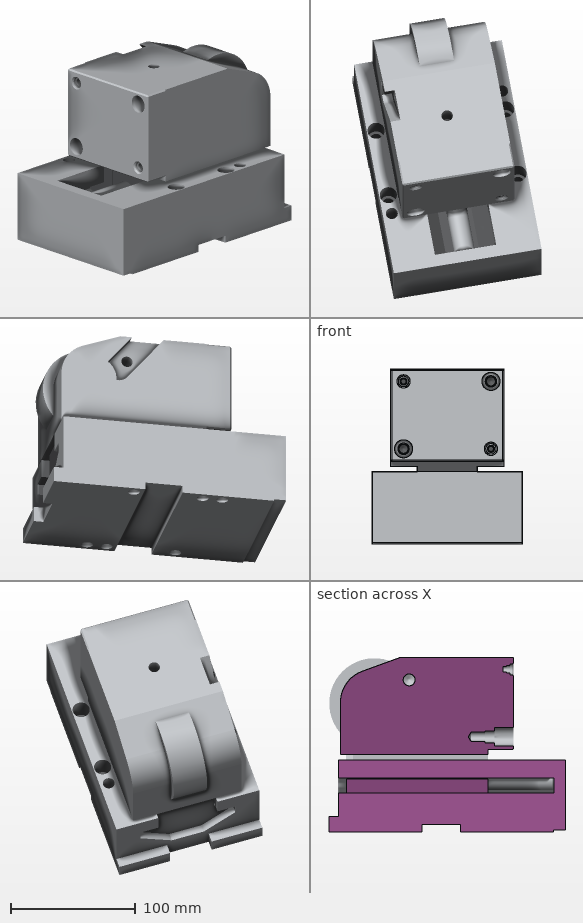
import cadquery as cq
import math


base_width = 120.0
base_length = 182.2
base_height = 58.0
total_length = 190.0
flange_height = 12.5
flange_notch_width = 35.0
keyway_width = 30.4
keyway_depth = 5.9
keyway_middle_y = 100.0
rear_relief_length = 9.9
rear_relief_height = 1.3

base_hole_x = 52.6
base_hole_radius = 4.8
screw_head_radius = 6.8
screw_head_depth = 19.0
screw_hole_ys = [66.9, 123.1]
dowel_y_offset = 16.0

slot_rear_y = 9.9
slot_width = 49.8
lip_thickness = 14.8
undercut_width = 79.8
slot_floor_z = 17.9
slot_floor_width = 27.0
slot_side_angle = 32.0
tongue_width = 48.3
tongue_clearance = 0.4
tongue_front_y = 176.0
tongue_bevel_length = 5.9
tongue_bevel_angle = 18.0

slide_width = 91.0
slide_bottom_z = 62.0
slide_top_z = 140.0
slide_front_y = 180.7
slide_rear_y = 41.6
rear_plate_front_y = 62.1
rear_plate_bottom_z = 66.0
rear_plate_chamfer = 1.1
nose_start_y = 132.2
nose_angle = 20.0
nose_radius = 27.0

roller_radius = 36.1
roller_width = 28.0
roller_y = 153.1
roller_z = 102.8

pocket_width = 20.0
pocket_depth = 8.0
pocket_angle = 50.0
pocket_end_y = 134.5
pocket_end_z = 111.0
pocket_hub_radius = 17.3
pocket_hole_distance = 14.0

tapped_radius = 4.5
tapped_depth = 19.0
drill_point_angle = 118.0
top_hole_y = 94.2

rear_hole_x = 35.0
rear_hole_low_z = 76.2
rear_hole_high_z = 130.2
bolt_steps = [(7.2, 15.2), (4.5, 22.8)]
bolt_tap_radius = 3.6
bolt_tap_depth = 34.2
plug_steps = [(4.2, 2.8), (2.8, 5.7), (2.0, 8.5)]
plug_rim_radius = 5.3

rod_radius = 8.4
rod_z = 41.6
rod_chamfer = 0.5
rod_front_y = 114.0
seat_size = 30.8
seat_depth = 1.0

slot_ceiling_z = base_height - lip_thickness
slot_side_rise = (undercut_width - slot_floor_width) / 2 * math.tan(math.radians(slot_side_angle))


def box(x_range, y_range, z_range):
    """Box given by its low and high limits on each axis."""
    sizes = [high - low for low, high in (x_range, y_range, z_range)]
    corner = (x_range[0], y_range[0], z_range[0])
    return cq.Workplane("XY").box(*sizes, centered=False).translate(corner)


def centered(width):
    """Limits of a width that is centred on the middle plane."""
    return (-width / 2, width / 2)


def cylinder(start, direction, radius, length):
    return cq.Workplane(cq.Solid.makeCylinder(radius, length, cq.Vector(*start), cq.Vector(*direction)))


def drilled_hole(start, direction, radius, depth):
    """Cutter for a blind hole that ends in a conical drill point."""
    point_length = radius / math.tan(math.radians(drill_point_angle / 2))
    tip = cq.Vector(*start) + cq.Vector(*direction) * depth
    point = cq.Solid.makeCone(radius, 0, point_length, tip, cq.Vector(*direction))
    return cylinder(start, direction, radius, depth).union(cq.Workplane(point))


def guide_profile(neck_width, ceiling_z, top_z, rear_y, front_y):
    """T section with sloping lower sides, extruded along Y; it fits both the slot and the tongue."""
    right_side = [
        (slot_floor_width / 2, slot_floor_z),
        (undercut_width / 2, slot_floor_z + slot_side_rise),
        (undercut_width / 2, ceiling_z),
        (neck_width / 2, ceiling_z),
        (neck_width / 2, top_z),
    ]
    left_side = [(-x, z) for x, z in reversed(right_side)]
    section = cq.Workplane("XZ", origin=(0, rear_y, 0)).polyline(right_side + left_side).close()
    return section.extrude(rear_y - front_y)


def make_base():
    body = box(centered(base_width), (0, base_length), (0, base_height))
    flange = box(centered(base_width), (base_length, total_length), (0, flange_height))
    notch = box(centered(flange_notch_width), (base_length, total_length), (0, flange_height))
    body = body.union(flange.cut(notch))

    keyway_ys = (keyway_middle_y - keyway_width / 2, keyway_middle_y + keyway_width / 2)
    body = body.cut(box(centered(base_width), keyway_ys, (0, keyway_depth)))
    body = body.cut(box(centered(base_width), (0, rear_relief_length), (0, rear_relief_height)))

    body = body.cut(guide_profile(slot_width, slot_ceiling_z, base_height, slot_rear_y, base_length))

    up = (0, 0, 1)
    for x in (-base_hole_x, base_hole_x):
        for y in screw_hole_ys:
            body = body.cut(cylinder((x, y, 0), up, base_hole_radius, base_height))
            head_floor = (x, y, base_height - screw_head_depth)
            body = body.cut(cylinder(head_floor, up, screw_head_radius, screw_head_depth))

    dowel_places = [
        (-base_hole_x, screw_hole_ys[0] - dowel_y_offset),
        (base_hole_x, screw_hole_ys[1] + dowel_y_offset),
    ]
    for x, y in dowel_places:
        body = body.cut(cylinder((x, y, 0), up, base_hole_radius, base_height))
    return body


def make_slide_block():
    """Main block with its sloping, rounded nose."""
    nose_drop = (slide_front_y - nose_start_y) * math.tan(math.radians(nose_angle))
    outline = [
        (rear_plate_front_y, slide_bottom_z),
        (slide_front_y, slide_bottom_z),
        (slide_front_y, slide_top_z - nose_drop),
        (nose_start_y, slide_top_z),
        (rear_plate_front_y, slide_top_z),
    ]
    block = cq.Workplane("YZ").polyline(outline).close().extrude(slide_width / 2, both=True)
    nose_edge = cq.selectors.NearestToPointSelector((0, slide_front_y, slide_top_z - nose_drop))
    return block.edges("|X").edges(nose_edge).fillet(nose_radius)


def make_rear_plate():
    plate_ys = (slide_rear_y, rear_plate_front_y)
    plate = box(centered(slide_width), plate_ys, (rear_plate_bottom_z, slide_top_z))
    return plate.edges("|Y or <Y").chamfer(rear_plate_chamfer)


def make_tongue_bevel(side):
    """Wedge that makes one flank of the neck lean inward at its front end, above the base."""
    flank_x = side * tongue_width / 2
    lean = side * (slide_bottom_z - base_height) * math.tan(math.radians(tongue_bevel_angle))
    wedge = [(flank_x, base_height), (flank_x, slide_bottom_z), (flank_x - lean, slide_bottom_z)]
    section = cq.Workplane("XZ", origin=(0, tongue_front_y, 0)).polyline(wedge).close()
    return section.extrude(tongue_bevel_length)


def make_tongue():
    tongue = guide_profile(
        tongue_width,
        slot_ceiling_z - tongue_clearance,
        slide_bottom_z,
        rear_plate_front_y,
        tongue_front_y,
    )
    for side in (-1, 1):
        tongue = tongue.cut(make_tongue_bevel(side))

    seat_ys = (rear_plate_front_y, rear_plate_front_y + seat_depth)
    seat = box(centered(seat_size), seat_ys, (rod_z - seat_size / 2, rod_z + seat_size / 2))
    bore = cylinder((0, rear_plate_front_y, rod_z), (0, 1, 0), rod_radius, rod_front_y - rear_plate_front_y)
    return tongue.cut(seat).cut(bore)


def make_side_pocket():
    """Round-ended slanting pocket that runs out at the top and stops short of the roller hub."""
    side_x = -slide_width / 2
    run_length = slide_top_z - slide_bottom_z
    pocket = (
        cq.Workplane("YZ")
        .rect(run_length, pocket_width)
        .extrude(pocket_depth)
        .translate((0, run_length / 2, 0))
        .union(cylinder((0, 0, 0), (1, 0, 0), pocket_width / 2, pocket_depth))
        .rotate((0, 0, 0), (1, 0, 0), 180 - pocket_angle)
        .translate((side_x, pocket_end_y, pocket_end_z))
    )
    hub = cylinder((side_x, roller_y, roller_z), (1, 0, 0), pocket_hub_radius, pocket_depth)
    pocket = pocket.cut(hub)

    angle = math.radians(pocket_angle)
    hole_y = pocket_end_y - pocket_hole_distance * math.cos(angle)
    hole_z = pocket_end_z + pocket_hole_distance * math.sin(angle)
    hole = drilled_hole((side_x + pocket_depth, hole_y, hole_z), (1, 0, 0), tapped_radius, tapped_depth)
    return pocket.union(hole)


def stepped_hole(x, z, steps):
    """Cutter into the rear face made of (radius, depth) steps."""
    cutter = cq.Workplane()
    for radius, depth in steps:
        cutter = cutter.add(cylinder((x, slide_rear_y, z), (0, 1, 0), radius, depth))
    return cutter.combine()


def make_bolt_hole(x, z):
    tap = drilled_hole((x, slide_rear_y, z), (0, 1, 0), bolt_tap_radius, bolt_tap_depth)
    return stepped_hole(x, z, bolt_steps).union(tap)


def make_plug_hole(x, z):
    first_radius = plug_steps[0][0]
    rim_depth = plug_rim_radius - first_radius
    center = cq.Vector(x, slide_rear_y, z)
    rim = cq.Solid.makeCone(plug_rim_radius, first_radius, rim_depth, center, cq.Vector(0, 1, 0))
    return stepped_hole(x, z, plug_steps).union(cq.Workplane(rim))


def make_slide():
    slide = make_slide_block().union(make_rear_plate()).union(make_tongue())
    roller_start = (-roller_width / 2, roller_y, roller_z)
    slide = slide.union(cylinder(roller_start, (1, 0, 0), roller_radius, roller_width))
    slide = slide.cut(make_side_pocket())
    slide = slide.cut(drilled_hole((0, top_hole_y, slide_top_z), (0, 0, -1), tapped_radius, tapped_depth))

    slide = slide.cut(make_bolt_hole(rear_hole_x, rear_hole_high_z))
    slide = slide.cut(make_bolt_hole(-rear_hole_x, rear_hole_low_z))
    slide = slide.cut(make_plug_hole(-rear_hole_x, rear_hole_high_z))
    slide = slide.cut(make_plug_hole(rear_hole_x, rear_hole_low_z))
    return slide


def make_spring_rod():
    """Rod from the rear wall of the slot to the bottom of its bore in the tongue."""
    rod = cylinder((0, slot_rear_y, rod_z), (0, 1, 0), rod_radius, rod_front_y - slot_rear_y)
    return rod.faces("<Y").chamfer(rod_chamfer)


base = make_base()
slide = make_slide()
spring_rod = make_spring_rod()

result = cq.Compound.makeCompound([base.val(), slide.val(), spring_rod.val()])